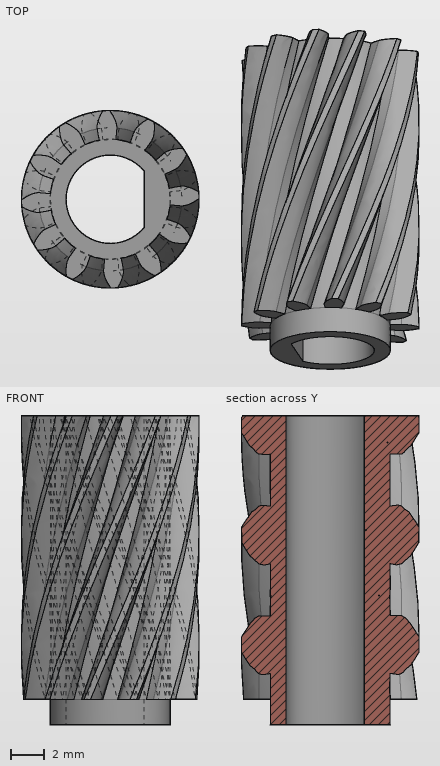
import cadquery as cq
import math

TOOTH_COUNT = 12
MODULE = 0.75
PRESSURE_ANGLE = math.radians(20)
BACKLASH_ANGLE = math.radians(0.4)
PITCH_RADIUS = MODULE * TOOTH_COUNT / 2
TIP_RADIUS = PITCH_RADIUS + MODULE
BASE_RADIUS = PITCH_RADIUS * math.cos(PRESSURE_ANGLE)
TOOTH_PITCH = 2 * math.pi / TOOTH_COUNT
FLANK_POINTS = 5

CORE_RADIUS = 7.1 / 2
COLLAR_HEIGHT = 1.5
TOTAL_HEIGHT = 18.25
GEAR_WIDTH = TOTAL_HEIGHT - COLLAR_HEIGHT

HELIX_ANGLE = math.radians(20)
LEAD = 2 * math.pi * PITCH_RADIUS / math.tan(HELIX_ANGLE)
TWIST = 360 * GEAR_WIDTH / LEAD

BORE_RADIUS = 2.6
FLAT_DISTANCE = 2.0


def involute(angle):
    """Involute function of a pressure angle, in radians."""
    return math.tan(angle) - angle


def polar(radius, angle):
    """XY point at a radius and an angle in radians."""
    return (radius * math.cos(angle), radius * math.sin(angle))


def half_tooth_angle(radius):
    """Half the angle a tooth spans at a radius; the flank is radial inside the base circle."""
    at_base = TOOTH_PITCH / 4 + involute(PRESSURE_ANGLE) - BACKLASH_ANGLE
    if radius <= BASE_RADIUS:
        return at_base
    return at_base - involute(math.acos(BASE_RADIUS / radius))


def gear_outline():
    """Closed cross-section at the lower end of the teeth, with a tooth gap centred on +X."""
    step = (TIP_RADIUS - BASE_RADIUS) / (FLANK_POINTS - 1)
    radii = [BASE_RADIUS + i * step for i in range(FLANK_POINTS)]
    root_half = half_tooth_angle(CORE_RADIUS)
    first_tooth = TOOTH_PITCH / 2
    outline = cq.Workplane("XY").moveTo(*polar(CORE_RADIUS, first_tooth - root_half))
    for tooth in range(TOOTH_COUNT):
        centre = first_tooth + tooth * TOOTH_PITCH
        rising = [polar(r, centre - half_tooth_angle(r)) for r in radii]
        falling = [polar(r, centre + half_tooth_angle(r)) for r in reversed(radii)]
        next_root = polar(CORE_RADIUS, centre + TOOTH_PITCH - root_half)
        outline = (
            outline.lineTo(*rising[0])
            .spline(rising[1:], includeCurrent=True)
            .threePointArc(polar(TIP_RADIUS, centre), falling[0])
            .spline(falling[1:], includeCurrent=True)
            .lineTo(*polar(CORE_RADIUS, centre + root_half))
            .threePointArc(polar(CORE_RADIUS, centre + TOOTH_PITCH / 2), next_root)
        )
    return outline.close()


def helical_gear():
    """Toothed body sitting on top of the collar."""
    return gear_outline().twistExtrude(GEAR_WIDTH, TWIST).translate((0, 0, COLLAR_HEIGHT))


def collar():
    """Plain cylinder below the teeth, flush with the tooth roots."""
    return cq.Workplane("XY").circle(CORE_RADIUS).extrude(COLLAR_HEIGHT)


def d_bore():
    """Cutter for the D-shaped hole through the whole part."""
    flat_half = math.sqrt(BORE_RADIUS**2 - FLAT_DISTANCE**2)
    return (
        cq.Workplane("XY")
        .moveTo(FLAT_DISTANCE, flat_half)
        .threePointArc((-BORE_RADIUS, 0), (FLAT_DISTANCE, -flat_half))
        .close()
        .extrude(TOTAL_HEIGHT)
    )


result = helical_gear().union(collar()).cut(d_bore())